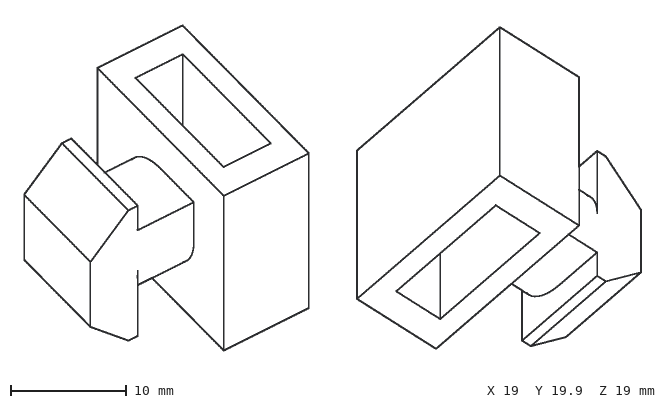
import cadquery as cq

total_depth = 19.9
body_side = 19.0
body_depth = 9.0
slot_width = 13.23
slot_depth = 5.0
neck_side = 9.99
head_depth = 5.0
head_height = 16.0
head_chamfer = 4.0

neck_length = total_depth - body_depth - head_depth
neck_radius = neck_side / 2
head_front = -(neck_length + head_depth)


def make_body():
    """Square block with a rectangular slot running through it along Z."""
    block = cq.Workplane("XY").box(body_side, body_depth, body_side)
    slot = cq.Workplane("XY").box(slot_width, slot_depth, body_side)
    return block.cut(slot).translate((0, body_depth / 2, 0))


def make_neck():
    """Square neck with two diagonally opposite corners rounded, so it can turn in a slot."""
    half = neck_side / 2
    neck = cq.Workplane("XY").box(neck_side, neck_length, neck_side)
    for side in (-1, 1):
        corner = cq.Workplane("XY").box(half, neck_length, half)
        corner = corner.translate((side * half / 2, 0, -side * half / 2))
        round_bar = cq.Workplane("XZ").circle(neck_radius).extrude(neck_length / 2, both=True)
        neck = neck.cut(corner.cut(round_bar))
    return neck.translate((0, -neck_length / 2, 0))


def make_head():
    """Bar across the end of the neck, sloped towards its front face."""
    top = head_height / 2
    face_top = top - head_chamfer
    slope_start = head_front + head_chamfer
    outline = [
        (-neck_length, -top),
        (slope_start, -top),
        (head_front, -face_top),
        (head_front, face_top),
        (slope_start, top),
        (-neck_length, top),
    ]
    return cq.Workplane("YZ").polyline(outline).close().extrude(neck_side / 2, both=True)


result = make_body().union(make_neck()).union(make_head())